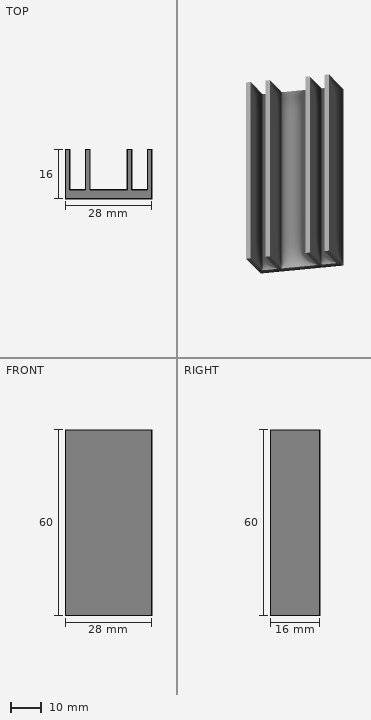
import cadquery as cq

width = 28.0
depth = 16.0
height = 60.0

base_thickness = 3.0
fin_thickness = 1.5
side_channel_width = 5.0

fin_length = depth - base_thickness
outer_fin_x = (width - fin_thickness) / 2
inner_fin_x = outer_fin_x - fin_thickness - side_channel_width


def make_base():
    """Flat plate whose outer face lies on Y = 0."""
    return cq.Workplane("XY").box(width, base_thickness, height, centered=(True, False, False))


def make_fin(center_x):
    """Full-height fin standing on the plate and pointing toward +Y."""
    return (
        cq.Workplane("XY")
        .box(fin_thickness, fin_length, height, centered=(True, False, False))
        .translate((center_x, base_thickness, 0))
    )


result = make_base()
for fin_x in (-outer_fin_x, -inner_fin_x, inner_fin_x, outer_fin_x):
    result = result.union(make_fin(fin_x))